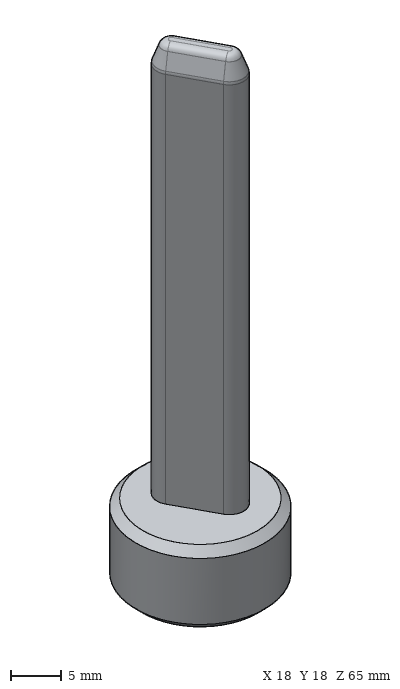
import cadquery as cq
import math

head_diameter = 18.0
head_height = 10.0
head_chamfer = 1.0

total_height = 65.0
blade_width = 10.0
blade_thickness = 4.0

tip_inset = 1.0
tip_angle = 20.0
tip_fillet = 1.0
shoulder_fillet = 1.0

tip_height = tip_inset / math.tan(math.radians(tip_angle))
shoulder_z = total_height - tip_height


def make_head():
    """Disc standing on Z = 0, chamfered on both rims."""
    disc = cq.Workplane("XY").circle(head_diameter / 2).extrude(head_height)
    return disc.faces("<Z or >Z").edges().chamfer(head_chamfer)


def make_half_section():
    """Half section of the blade in (distance from mid-plane, Z), from the head to the top."""
    blade_radius = blade_thickness / 2
    lean_sin = math.sin(math.radians(tip_angle))
    lean_cos = math.cos(math.radians(tip_angle))

    shoulder_setback = shoulder_fillet * math.tan(math.radians(tip_angle / 2))
    top_setback = tip_fillet * math.tan(math.radians((90 - tip_angle) / 2))

    top_radius = blade_radius - tip_inset
    shoulder_start = (blade_radius, shoulder_z - shoulder_setback)
    shoulder_end = (
        blade_radius - shoulder_setback * lean_sin,
        shoulder_z + shoulder_setback * lean_cos,
    )
    round_start = (
        top_radius + top_setback * lean_sin,
        total_height - top_setback * lean_cos,
    )
    round_end = (top_radius - top_setback, total_height)

    return (
        cq.Workplane("XZ")
        .moveTo(0, head_height)
        .lineTo(blade_radius, head_height)
        .lineTo(*shoulder_start)
        .tangentArcPoint(shoulder_end, relative=False)
        .lineTo(*round_start)
        .tangentArcPoint(round_end, relative=False)
        .lineTo(0, total_height)
        .close()
    )


def make_blade():
    """Slot-shaped blade: a straight middle between two revolved ends."""
    straight_length = blade_width - blade_thickness
    end_x = straight_length / 2

    end = make_half_section().revolve(360, (0, 0, 0), (0, 1, 0))
    ends = end.translate((end_x, 0, 0)).union(end.translate((-end_x, 0, 0)))

    half_middle = (
        make_half_section()
        .extrude(end_x, both=True)
        .rotate((0, 0, 0), (0, 0, 1), 90)
    )
    middle = half_middle.union(half_middle.mirror("XZ"))
    return ends.union(middle)


result = make_head().union(make_blade()).clean().solids()